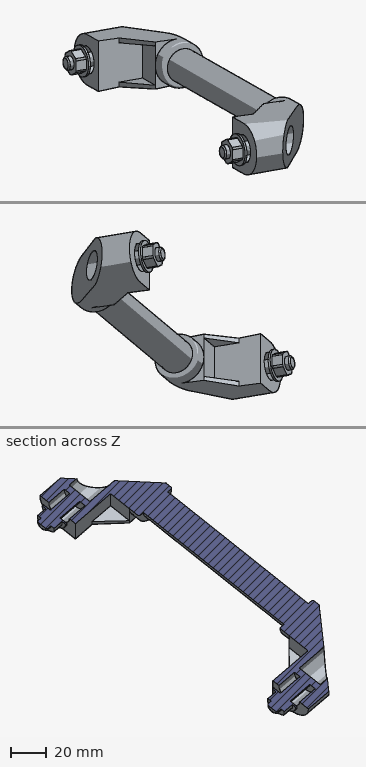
import cadquery as cq
import math

LENGTH = 210.0
DEPTH = 69.5

FOOT_WIDTH = 30.0
FOOT_RADIUS = FOOT_WIDTH / 2
FOOT_LENGTH = 28.0
FOOT_INNER_HEIGHT = 13.5
FOOT_OUTER_HEIGHT = 16.8

GRIP_HEIGHT = 42.0
GRIP_DIAMETER = 20.0
COLLAR_DIAMETER = 27.0
COLLAR_RADIUS = COLLAR_DIAMETER / 2
COLLAR_START = 42.6
COLLAR_END = 50.2
COLLAR_ROUNDING = 1.0
COLLAR_CREST = 45.0

POCKET_WIDTH = 23.3

SCREW_HOLE_DIAMETER = 16.0
WEB_THICKNESS = 4.2
WEB_TOP = FOOT_OUTER_HEIGHT
WEB_BOTTOM = WEB_TOP - WEB_THICKNESS

SHANK_DIAMETER = 8.0
SHANK_CHAMFER = 0.8
WASHER_DIAMETER = 18.3
WASHER_THICKNESS = 1.3
WASHER_GAP = 3.0
NUT_FLATS = 13.0
NUT_CORNERS = NUT_FLATS / math.cos(math.radians(30))
NUT_TURNED_DIAMETER = 14.3
NUT_THICKNESS = 6.5

COLLAR_BOTTOM = GRIP_HEIGHT - COLLAR_RADIUS
COLLAR_TOP = GRIP_HEIGHT + COLLAR_RADIUS
SHANK_LENGTH = DEPTH - COLLAR_TOP
OUTER_SLOPE = (COLLAR_TOP - FOOT_OUTER_HEIGHT) / COLLAR_CREST
AXIS_ON_SLOPE = (GRIP_HEIGHT - FOOT_OUTER_HEIGHT) / OUTER_SLOPE


def screw_sketch(start):
    """Sketch square to the screw axis at Y = start; its normal points towards -Y."""
    return cq.Workplane("XZ", origin=(FOOT_RADIUS, start, 0))


def disc_along_y(diameter, start, end):
    """Cylinder on the screw axis."""
    return screw_sketch(start).circle(diameter / 2).extrude(start - end)


def bar_along_x(diameter, start, end):
    """Cylinder on the grip axis."""
    sketch = cq.Workplane("YZ", origin=(start, GRIP_HEIGHT, 0))
    return sketch.circle(diameter / 2).extrude(end - start)


def outline_prism(points, width):
    """Prism of an XY outline, centred on Z = 0."""
    return cq.Workplane("XY").polyline(points).close().extrude(width / 2, both=True)


def leg_arm():
    """Sloping arm with a rounded outer end and sides that taper towards the collar."""
    arm = outline_prism(
        [
            (0, 0),
            (FOOT_LENGTH, 0),
            (FOOT_LENGTH, FOOT_INNER_HEIGHT),
            (COLLAR_START, COLLAR_BOTTOM),
            (COLLAR_START, GRIP_HEIGHT),
            (AXIS_ON_SLOPE, GRIP_HEIGHT),
            (0, FOOT_OUTER_HEIGHT),
        ],
        FOOT_WIDTH,
    )
    taper = (
        cq.Workplane("YZ")
        .polyline(
            [
                (0, -FOOT_RADIUS),
                (GRIP_HEIGHT, -COLLAR_RADIUS),
                (GRIP_HEIGHT, COLLAR_RADIUS),
                (0, FOOT_RADIUS),
            ]
        )
        .close()
        .extrude(COLLAR_END)
    )
    round_end = disc_along_y(FOOT_WIDTH, 0, GRIP_HEIGHT)
    inner_block = cq.Workplane("XY").box(
        COLLAR_END - FOOT_RADIUS, GRIP_HEIGHT, FOOT_WIDTH, centered=(False, False, True)
    ).translate((FOOT_RADIUS, 0, 0))
    return arm.intersect(taper).intersect(round_end.union(inner_block))


def collar():
    """Round collar with a rounded inner rim, cut off by the outer slope of the leg."""
    body = bar_along_x(COLLAR_DIAMETER, AXIS_ON_SLOPE, COLLAR_END)
    body = body.faces(">X").edges().fillet(COLLAR_ROUNDING)
    above_slope = outline_prism(
        [
            (0, FOOT_OUTER_HEIGHT),
            (COLLAR_CREST, COLLAR_TOP),
            (0, COLLAR_TOP),
        ],
        FOOT_WIDTH,
    )
    return body.cut(above_slope)


def pocket():
    """Triangular pocket that continues the foot's inner face and the collar's underside."""
    return outline_prism(
        [
            (FOOT_LENGTH, FOOT_INNER_HEIGHT),
            (COLLAR_START, COLLAR_BOTTOM),
            (FOOT_LENGTH, COLLAR_BOTTOM),
        ],
        POCKET_WIDTH,
    )


def screw_hole():
    """Hole from the outer slope to the foot's base, open on both sides of the web."""
    upper = disc_along_y(SCREW_HOLE_DIAMETER, WEB_TOP, COLLAR_TOP)
    lower = disc_along_y(SCREW_HOLE_DIAMETER, 0, WEB_BOTTOM)
    return upper.union(lower)


def fastener():
    """Screw shank from the web to below the foot, with a washer and a hexagon nut."""
    shank = disc_along_y(SHANK_DIAMETER, -SHANK_LENGTH, WEB_TOP)
    shank = shank.faces("<Y").edges().chamfer(SHANK_CHAMFER)
    washer_bottom = -WASHER_GAP - WASHER_THICKNESS
    washer = disc_along_y(WASHER_DIAMETER, washer_bottom, -WASHER_GAP)
    nut_bottom = washer_bottom - NUT_THICKNESS
    nut_sketch = screw_sketch(washer_bottom).transformed(rotate=(0, 0, 90))
    hexagon = nut_sketch.polygon(6, NUT_CORNERS).extrude(NUT_THICKNESS)
    nut = hexagon.intersect(disc_along_y(NUT_TURNED_DIAMETER, nut_bottom, washer_bottom))
    return shank.union(washer).union(nut)


def leg():
    """Complete left leg with its fastener."""
    return leg_arm().union(collar()).cut(pocket()).cut(screw_hole()).union(fastener())


left_leg = leg()
right_leg = left_leg.mirror("YZ", (LENGTH / 2, 0, 0))
grip = bar_along_x(GRIP_DIAMETER, COLLAR_START, LENGTH - COLLAR_START)
handle = left_leg.union(grip).union(right_leg).translate((-LENGTH / 2, 0, 0))
result = handle.solids()